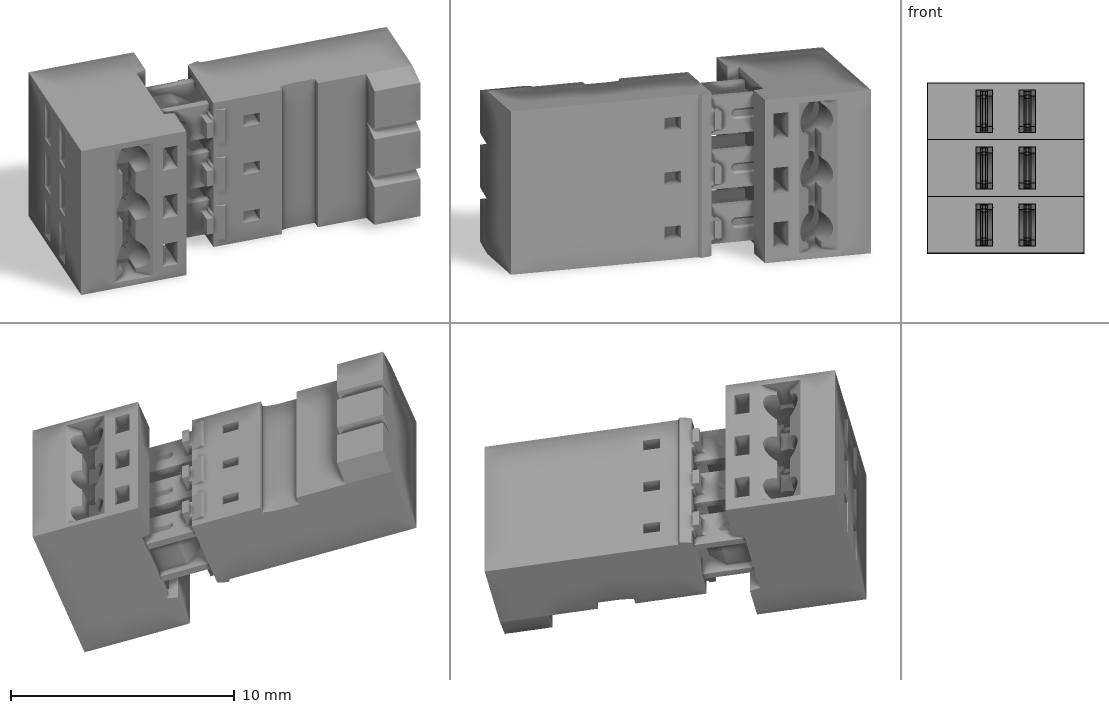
import cadquery as cq


POLE_COUNT = 3
TOTAL_LENGTH = 16.35
STACK_HEIGHT = 7.62
POLE_HEIGHT = STACK_HEIGHT / POLE_COUNT

FRONT_WIDTH = 7.0
FRONT_LENGTH = 4.99
RECESS_FLOOR_Y = 4.51
RECESS_MOUTH_WIDTH = 3.83
RECESS_FLOOR_WIDTH = 3.63

HOLE_DIAMETER = 1.55
HOLE_Y = 2.52
TROUGH_FRONT_Y = 1.57
TROUGH_REAR_Y = 3.4
CHANNEL_FRONT_Y = 2.16
CHANNEL_REAR_Y = 2.76
TROUGH_DEPTH = 0.54
CHANNEL_FLOOR_DEPTH = 1.47
TROUGH_END_WALL = 0.3

BLADE_HEIGHT = 1.78
BLADE_INNER_X = 0.82
BLADE_THICKNESS = 0.31
BLADE_OUTER_X = BLADE_INNER_X + BLADE_THICKNESS

TIP_Y = 3.07
TIP_HEIGHT = 1.44
TIP_BEVEL_LENGTH = 0.3
TIP_ARC_RADIUS = 0.8
TIP_CHAMFER = 0.08

SLOT_INNER_X = 0.59
SLOT_OUTER_X = 1.32
SLOT_HEIGHT = 1.88
SLOT_END_Y = 2.9
BLADE_CAVITY_END_Y = 3.52

FRONT_WINDOW_Y = 3.89
FRONT_WINDOW_LENGTH = 0.69
FRONT_WINDOW_HEIGHT = 1.2

GROOVE_WIDTH = 0.49
GROOVE_FLOOR_WIDTH = 0.3
GROOVE_DEPTH = (GROOVE_WIDTH - GROOVE_FLOOR_WIDTH) / 2
GROOVE_START_Y = FRONT_WINDOW_Y - GROOVE_WIDTH / 2
GROOVE_END_Y = 5.82

TONGUE_HEIGHT = 1.05
TONGUE_SHOULDER_Y = 5.8
TONGUE_TIP_Y = 6.54
TONGUE_TIP_WIDTH = 0.85
TONGUE_TIP_HEIGHT = 0.33

REAR_WIDTH = 3.4
REAR_START_Y = 6.92

CAVITY_HEIGHT = 1.37
CAVITY_DEPTH = 1.15
POST_INNER_X = 0.45
POST_OUTER_X = 0.72
STEP_LOW_Z = -0.07
STEP_HIGH_Z = 0.2
STEP_LENGTH = 0.44

LIP_CREST_Y = 7.42
LIP_END_Y = 7.52
LIP_OVERHANG = 0.15
SHORT_LIP_HEIGHT = BLADE_HEIGHT

TAB_TIP_X = 1.91
TAB_HEIGHT = 0.82
TAB_FRONT_Y = 6.52
TAB_THICKNESS = 0.31
TAB_BEND_RADIUS = 0.2
PAD_HEIGHT = 1.03
PAD_THICKNESS = 0.11

KEY_LENGTH = 2.17
KEY_WIDTH = 1.08
KEY_DRAFT = 0.28

NOTCH_START_Y = 10.17
NOTCH_BEND_Y = 10.95
NOTCH_END_Y = 11.87
NOTCH_DEPTH = 0.4
NOTCH_SHALLOW_DEPTH = 0.3

LATCH_Y = 8.35
LATCH_LENGTH = 0.77
LATCH_HEIGHT = 0.59
LATCH_DEPTH = 0.82
LATCH_LEDGE = 0.18
LATCH_BORDER = 0.05
LATCH_RAMP_DEPTH = 0.13


def box(x_range, y_range, z_range):
    """Box between pairs of X, Y and Z limits."""
    size = [limits[1] - limits[0] for limits in (x_range, y_range, z_range)]
    corner = (x_range[0], y_range[0], z_range[0])
    return cq.Workplane("XY").box(*size, centered=False).translate(corner)


def centred(length):
    """Limits of a length centred on zero."""
    return (-length / 2, length / 2)


def plate(points, height):
    """XY outline extruded symmetrically about Z = 0."""
    return cq.Workplane("XY").polyline(points).close().extrude(height / 2, both=True)


def both_sides(shape):
    """A shape together with its mirror image across the YZ plane."""
    return shape.union(shape.mirror("YZ"))


def front_block():
    half = FRONT_WIDTH / 2
    mouth = RECESS_MOUTH_WIDTH / 2
    floor = RECESS_FLOOR_WIDTH / 2
    return plate(
        [
            (-half, 0),
            (half, 0),
            (half, FRONT_LENGTH),
            (mouth, FRONT_LENGTH),
            (floor, RECESS_FLOOR_Y),
            (-floor, RECESS_FLOOR_Y),
            (-mouth, FRONT_LENGTH),
            (-half, FRONT_LENGTH),
        ],
        POLE_HEIGHT,
    )


def cross_hole():
    hole = cq.Workplane("YZ").center(HOLE_Y, 0).circle(HOLE_DIAMETER / 2)
    return hole.extrude(FRONT_WIDTH / 2, both=True)


def trough(bottom_z, top_z):
    """Sloped trough in the -X side with a straight-walled channel, between two heights."""
    mouth_x = -FRONT_WIDTH / 2
    slope_x = mouth_x + TROUGH_DEPTH
    floor_x = mouth_x + CHANNEL_FLOOR_DEPTH
    outline = [
        (mouth_x, TROUGH_FRONT_Y),
        (slope_x, CHANNEL_FRONT_Y),
        (floor_x, CHANNEL_FRONT_Y),
        (floor_x, CHANNEL_REAR_Y),
        (slope_x, CHANNEL_REAR_Y),
        (mouth_x, TROUGH_REAR_Y),
    ]
    floor_plane = cq.Workplane("XY").workplane(offset=bottom_z)
    return floor_plane.polyline(outline).close().extrude(top_z - bottom_z)


def blade_slot():
    """Wide slot from the front face and the narrower cavity that holds the blade tip."""
    slot = box((-SLOT_OUTER_X, -SLOT_INNER_X), (0, SLOT_END_Y), centred(SLOT_HEIGHT))
    cavity = box((-BLADE_OUTER_X, -BLADE_INNER_X), (0, BLADE_CAVITY_END_Y), centred(SLOT_HEIGHT))
    return slot.union(cavity)


def front_window():
    """Window in the -X side, down to the blade; it just breaks into the rear recess."""
    return box(
        (-FRONT_WIDTH / 2, -BLADE_OUTER_X),
        (FRONT_WINDOW_Y, FRONT_WINDOW_Y + FRONT_WINDOW_LENGTH),
        centred(FRONT_WINDOW_HEIGHT),
    )


def front_shell(trough_bottom_z, trough_top_z):
    side_cuts = trough(trough_bottom_z, trough_top_z).union(blade_slot()).union(front_window())
    return front_block().cut(cross_hole()).cut(both_sides(side_cuts))


def blade_groove():
    """Round-ended groove with sloped walls, in the outer face of the -X blade."""
    length = GROOVE_END_Y - GROOVE_START_Y
    centre_y = GROOVE_START_Y + length / 2
    return (
        cq.Workplane("YZ", origin=(-BLADE_OUTER_X, centre_y, 0))
        .slot2D(length, GROOVE_WIDTH)
        .workplane(offset=GROOVE_DEPTH)
        .slot2D(length - 2 * GROOVE_DEPTH, GROOVE_FLOOR_WIDTH)
        .loft(ruled=True)
    )


def blade_strip():
    """Flat blade on the -X side with bevelled prongs, its front edges chamfered."""
    half = BLADE_HEIGHT / 2
    tip_half = TIP_HEIGHT / 2
    outline = [
        (TIP_Y, -tip_half),
        (TIP_Y + TIP_BEVEL_LENGTH, -half),
        (REAR_START_Y, -half),
        (REAR_START_Y, half),
        (TIP_Y + TIP_BEVEL_LENGTH, half),
        (TIP_Y, tip_half),
    ]
    outer_plane = cq.Workplane("YZ", origin=(-BLADE_OUTER_X, 0, 0))
    strip = outer_plane.polyline(outline).close().extrude(BLADE_THICKNESS)
    hollow = outer_plane.center(HOLE_Y, 0).circle(TIP_ARC_RADIUS).extrude(BLADE_THICKNESS)
    forked = strip.cut(hollow)
    bevel_faces = forked.faces("<Y or (not (|X or |Y or |Z))")
    return bevel_faces.edges("not |X").chamfer(TIP_CHAMFER)


def blade():
    """Contact blade on the -X side with its bent tab and pad."""
    pad = box(
        (-REAR_WIDTH / 2, -BLADE_OUTER_X),
        (REAR_START_Y - PAD_THICKNESS, REAR_START_Y),
        centred(PAD_HEIGHT),
    )
    return blade_strip().union(bent_tab()).union(pad)


def bent_tab():
    """Tab on the -X side with a concave bend where it meets the blade."""
    bend_x = -BLADE_OUTER_X - TAB_BEND_RADIUS
    bend_y = TAB_FRONT_Y - TAB_BEND_RADIUS
    return (
        cq.Workplane("XY")
        .moveTo(-BLADE_OUTER_X, TAB_FRONT_Y + TAB_THICKNESS)
        .lineTo(-TAB_TIP_X, TAB_FRONT_Y + TAB_THICKNESS)
        .lineTo(-TAB_TIP_X, TAB_FRONT_Y)
        .lineTo(bend_x, TAB_FRONT_Y)
        .tangentArcPoint((-BLADE_OUTER_X, bend_y), relative=False)
        .close()
        .extrude(TAB_HEIGHT / 2, both=True)
    )


def tongue():
    """Straight tongue that fills the gap between the blades and tapers on all sides."""
    width = 2 * BLADE_INNER_X
    body = box(centred(width), (RECESS_FLOOR_Y, TONGUE_SHOULDER_Y), centred(TONGUE_HEIGHT))
    taper = (
        cq.Workplane("XZ", origin=(0, TONGUE_SHOULDER_Y, 0))
        .rect(width, TONGUE_HEIGHT)
        .workplane(offset=TONGUE_SHOULDER_Y - TONGUE_TIP_Y)
        .rect(TONGUE_TIP_WIDTH, TONGUE_TIP_HEIGHT)
        .loft(ruled=True)
    )
    return body.union(taper)


def lip(height):
    """Flared lip on the -X side of the rear shell."""
    wall_x = -REAR_WIDTH / 2
    crest = (wall_x - LIP_OVERHANG, LIP_CREST_Y)
    return plate([(wall_x, REAR_START_Y), crest, (wall_x, LIP_END_Y)], height)


def key():
    """Block on the +X side that narrows in Z away from the rear shell."""
    wall_x = REAR_WIDTH / 2
    tip_x = wall_x + KEY_WIDTH
    wall_z = POLE_HEIGHT / 2
    tip_z = wall_z - KEY_DRAFT
    outline = [(wall_x, -wall_z), (tip_x, -tip_z), (tip_x, tip_z), (wall_x, wall_z)]
    return cq.Workplane("XZ", origin=(0, TOTAL_LENGTH, 0)).polyline(outline).close().extrude(KEY_LENGTH)


def side_notch():
    """Notch in the +X side whose floor curves up towards its front end."""
    wall_x = REAR_WIDTH / 2
    floor_x = wall_x - NOTCH_DEPTH
    return (
        cq.Workplane("XY")
        .moveTo(wall_x, NOTCH_END_Y)
        .lineTo(floor_x, NOTCH_END_Y)
        .lineTo(floor_x, NOTCH_BEND_Y)
        .tangentArcPoint((wall_x - NOTCH_SHALLOW_DEPTH, NOTCH_START_Y), relative=False)
        .lineTo(wall_x, NOTCH_START_Y)
        .close()
        .extrude(POLE_HEIGHT / 2, both=True)
    )


def latch_window():
    """Window in the -X side with a ledge and, behind it, a ramp that deepens towards +Y."""
    wall_x = -REAR_WIDTH / 2
    floor_x = wall_x + LATCH_DEPTH
    end_y = LATCH_Y + LATCH_LENGTH
    opening = box((wall_x, floor_x), (LATCH_Y, end_y), centred(LATCH_HEIGHT))
    ramp_end_y = end_y - LATCH_BORDER
    ramp_outline = [
        (floor_x, LATCH_Y + LATCH_LEDGE),
        (floor_x + LATCH_RAMP_DEPTH, ramp_end_y),
        (floor_x, ramp_end_y),
    ]
    ramp = plate(ramp_outline, LATCH_HEIGHT - 2 * LATCH_BORDER)
    return opening.union(ramp)


def cavity():
    """Front cavity between the blades, less the two-step post on each side."""
    riser_y = REAR_START_Y + STEP_LENGTH
    end_y = REAR_START_Y + CAVITY_DEPTH
    bottom_z = -CAVITY_HEIGHT / 2
    post_x = (-POST_OUTER_X, -POST_INNER_X)
    space = box(centred(2 * BLADE_INNER_X), (REAR_START_Y, end_y), centred(CAVITY_HEIGHT))
    low_step = box(post_x, (REAR_START_Y, riser_y), (bottom_z, STEP_LOW_Z))
    high_step = box(post_x, (riser_y, end_y), (bottom_z, STEP_HIGH_Z))
    return space.cut(both_sides(low_step.union(high_step)))


def rear_shell():
    body = box(centred(REAR_WIDTH), (REAR_START_Y, TOTAL_LENGTH), centred(POLE_HEIGHT))
    body = body.union(lip(POLE_HEIGHT)).union(lip(SHORT_LIP_HEIGHT).mirror("YZ")).union(key())
    return body.cut(cavity()).cut(side_notch()).cut(both_sides(latch_window()))


def pole(index):
    """One pole; the trough runs on into the next pole but stops short of the stack ends."""
    half = POLE_HEIGHT / 2
    trough_bottom_z = -half + (TROUGH_END_WALL if index == 0 else 0)
    trough_top_z = half - (TROUGH_END_WALL if index == POLE_COUNT - 1 else 0)
    solid = (
        front_shell(trough_bottom_z, trough_top_z)
        .union(both_sides(blade()))
        .union(tongue())
        .union(rear_shell())
        .cut(both_sides(blade_groove()))
    )
    centre_z = (index + 0.5) * POLE_HEIGHT - STACK_HEIGHT / 2
    return solid.translate((0, 0, centre_z))


poles = [pole(index) for index in range(POLE_COUNT)]
result = cq.Compound.makeCompound([item.solids().val() for item in poles])